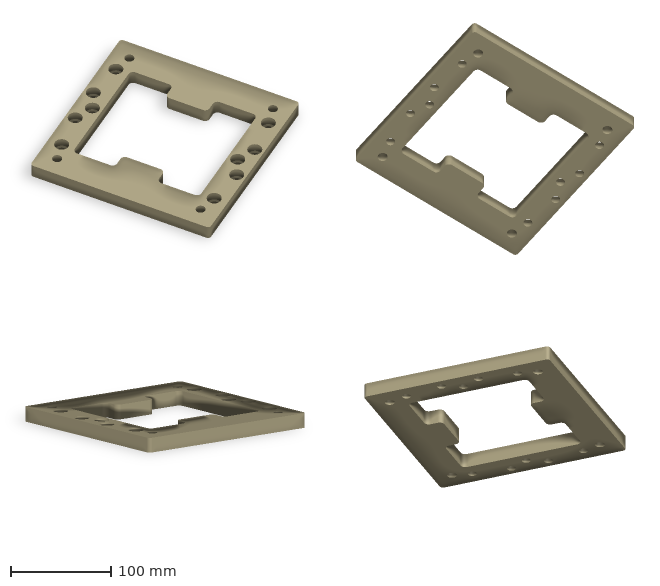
import cadquery as cq

side = 200.0
thickness = 15.0
corner_radius = 3.5

window_x = 141.0
window_y = 129.0
window_radius = 5.0
tab_width = 47.0
tab_gap = 94.0
tab_root_radius = 5.0
tab_tip_radius = 5.0

corner_hole_diameter = 10.0
corner_hole_offset = 80.0

bolt_diameter = 9.0
bore_diameter = 15.0
bore_depth = 9.0
outer_bolt = (85.0, 60.0)
inner_bolt = (90.0, 20.0)
middle_bolt_x = 81.0


def mirrored(x, y):
    """Return the point repeated in all four quadrants."""
    return [(sx * x, sy * y) for sx in (-1, 1) for sy in (-1, 1)]


def upright_edges(body, points):
    """Select the vertical edges standing at the given points."""
    reach = 0.2
    edges = body.edges("|Z")
    found = [
        edge
        for edge in edges.vals()
        for x, y in points
        if abs(edge.Center().x - x) < reach and abs(edge.Center().y - y) < reach
    ]
    return body.newObject(found)


def window_cutter():
    """Build the rounded window, less the two tabs."""
    cutter = cq.Workplane("XY").rect(window_x, window_y).extrude(thickness)
    tab_length = (window_y - tab_gap) / 2
    tab_centre = (window_y + tab_gap) / 4
    tabs = (
        cq.Workplane("XY")
        .pushPoints([(0, -tab_centre), (0, tab_centre)])
        .rect(tab_width, tab_length)
        .extrude(thickness)
    )
    cutter = cutter.cut(tabs)
    corners = (
        (window_x / 2, window_y / 2, window_radius),
        (tab_width / 2, window_y / 2, tab_root_radius),
        (tab_width / 2, tab_gap / 2, tab_tip_radius),
    )
    for x, y, radius in corners:
        cutter = upright_edges(cutter, mirrored(x, y)).fillet(radius)
    return cutter


plate = cq.Workplane("XY").rect(side, side).extrude(thickness)
plate = plate.edges("|Z").fillet(corner_radius)
plate = plate.cut(window_cutter())

corner_holes = mirrored(corner_hole_offset, corner_hole_offset)
plate = plate.faces(">Z").workplane(origin=(0, 0, 0)).pushPoints(corner_holes).hole(corner_hole_diameter)

middle_bolts = [(-middle_bolt_x, 0), (middle_bolt_x, 0)]
bolts = mirrored(*outer_bolt) + mirrored(*inner_bolt) + middle_bolts
result = (
    plate.faces(">Z")
    .workplane(origin=(0, 0, 0))
    .pushPoints(bolts)
    .cboreHole(bolt_diameter, bore_diameter, bore_depth)
)